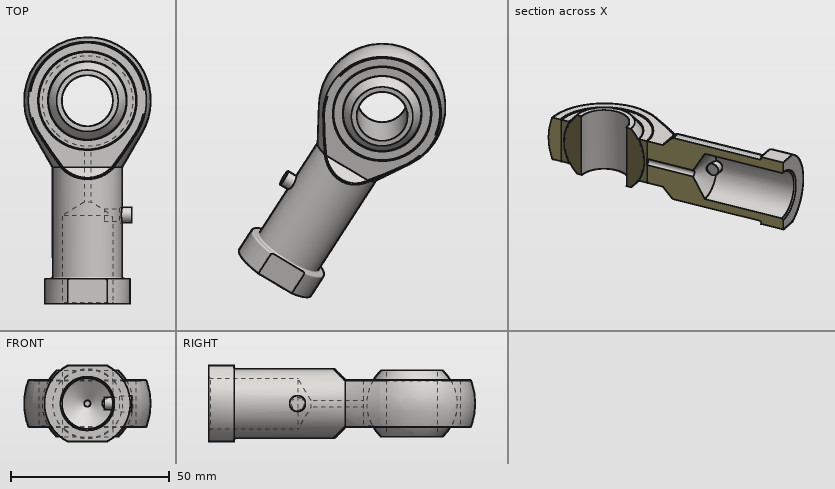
import cadquery as cq
import math

eye_radius = 20.0
eye_thickness = 15.0
taper_angle = math.radians(30)
eye_face = eye_thickness / 2
edge_break = 0.3

shank_radius = 11.0
end_y = -64.0
collar_radius = 13.5
collar_length = 8.0
collar_across_flats = 24.0
collar_fillet = 0.5
collar_y = end_y + collar_length

tangent_y = -eye_radius * math.sin(taper_angle)
tangent_radius = eye_radius * math.cos(taper_angle)
taper_end_y = tangent_y - (tangent_radius - shank_radius) / math.tan(taper_angle)

bore_radius = 8.0
bore_chamfer = 0.5
bore_depth = 28.0
bore_cone_y = end_y + bore_depth
bore_cone_half_angle = math.radians(59)
oil_hole_radius = 1.0
bore_tip_y = bore_cone_y + (bore_radius - oil_hole_radius) / math.tan(bore_cone_half_angle)

race_radius = 30.57 / 2
ball_radius = 28.575 / 2
ball_width = 21.0
ball_bore_radius = 8.0

fitting_y = -36.0
fitting_head_radius = 2.5
fitting_stem_radius = 2.0
fitting_outer_x = 14.0
fitting_seat_x = 10.0
fitting_stem_x = 5.3


def make_cylinder_z(radius, height):
    """Cylinder along Z, centred on the origin."""
    return cq.Workplane("XY", origin=(0, 0, -height / 2)).circle(radius).extrude(height)


def make_cylinder_x(radius, start_x, end_x):
    """Cylinder along X on the axis of the grease fitting."""
    plane = cq.Workplane("YZ", origin=(start_x, fitting_y, 0))
    return plane.circle(radius).extrude(end_x - start_x)


def make_rim_chamfer(hole_radius, side):
    """Cone that breaks the rim of a hole in the eye face on one side (+1 or -1 in Z)."""
    return (
        cq.Workplane("XZ")
        .moveTo(0, side * eye_face)
        .lineTo(hole_radius + edge_break, side * eye_face)
        .lineTo(hole_radius, side * (eye_face - edge_break))
        .lineTo(0, side * (eye_face - edge_break))
        .close()
        .revolve(360, (0, 0), (0, 1))
    )


def make_turned_body():
    """Eye sphere, tangent cone and shank, turned about Y."""
    return (
        cq.Workplane("XY")
        .moveTo(0, eye_radius)
        .threePointArc((eye_radius, 0), (tangent_radius, tangent_y))
        .lineTo(shank_radius, taper_end_y)
        .lineTo(shank_radius, end_y)
        .lineTo(0, end_y)
        .close()
        .revolve(360, (0, 0), (0, 1))
    )


def make_eye_relief(side):
    """Stock cut away on one side (+1 or -1 in Z): flat eye face and 45 degree shoulder."""
    far = 2 * eye_radius
    return (
        cq.Workplane("YZ")
        .moveTo(far, side * eye_face)
        .lineTo(taper_end_y, side * eye_face)
        .lineTo(taper_end_y - (far - eye_face), side * far)
        .lineTo(far, side * far)
        .close()
        .extrude(far, both=True)
    )


def make_eye_and_shank():
    """Turned body flattened at the eye, with the rims of the cut faces chamfered."""
    body = make_turned_body()
    for side in (1, -1):
        body = body.cut(make_eye_relief(side))
    rims = []
    for edge in body.edges().vals():
        box = edge.BoundingBox()
        if edge.geomType() != "LINE" and (box.zmin > edge_break or box.zmax < -edge_break):
            rims.append(edge)
    return body.newObject(rims).chamfer(edge_break)


def make_collar():
    """Collar with a rounded upper rim, a fillet up to the shank and two wrench flats."""
    rounded = (
        cq.Workplane("XY")
        .moveTo(0, end_y)
        .lineTo(collar_radius, end_y)
        .lineTo(collar_radius, collar_y - collar_fillet)
        .radiusArc((collar_radius - collar_fillet, collar_y), -collar_fillet)
        .lineTo(shank_radius + collar_fillet, collar_y)
        .radiusArc((shank_radius, collar_y + collar_fillet), collar_fillet)
        .lineTo(0, collar_y + collar_fillet)
        .close()
        .revolve(360, (0, 0), (0, 1))
    )
    between_flats = cq.Workplane("XY").box(2 * collar_radius, -2 * end_y, collar_across_flats)
    return rounded.intersect(between_flats)


def make_shank_bore():
    """Bore, conical bottom and the oil hole that leads to the eye."""
    return (
        cq.Workplane("XY")
        .moveTo(0, end_y)
        .lineTo(bore_radius + bore_chamfer, end_y)
        .lineTo(bore_radius, end_y + bore_chamfer)
        .lineTo(bore_radius, bore_cone_y)
        .lineTo(oil_hole_radius, bore_tip_y)
        .lineTo(oil_hole_radius, 0)
        .lineTo(0, 0)
        .close()
        .revolve(360, (0, 0), (0, 1))
    )


def make_housing():
    """One-piece rod end: eye, shank and collar with all their holes."""
    housing = make_eye_and_shank().union(make_collar())
    housing = housing.cut(make_shank_bore())
    eye_bore = make_cylinder_z(race_radius, eye_thickness)
    housing = housing.cut(eye_bore)
    for side in (1, -1):
        housing = housing.cut(make_rim_chamfer(race_radius, side))
    fitting_head_hole = make_cylinder_x(fitting_head_radius, fitting_seat_x, fitting_outer_x)
    fitting_stem_hole = make_cylinder_x(fitting_stem_radius, 0, fitting_seat_x)
    return housing.cut(fitting_head_hole).cut(fitting_stem_hole)


def make_race():
    """Outer ring of the bearing, hollowed to the ball."""
    race = make_cylinder_z(race_radius, eye_thickness)
    race = race.cut(cq.Workplane("XY").sphere(ball_radius))
    mouth_radius = math.sqrt(ball_radius**2 - eye_face**2)
    for side in (1, -1):
        race = race.cut(make_rim_chamfer(mouth_radius, side))
    return race


def make_ball():
    """Inner ring: a ball with flat ends and a plain bore."""
    ball = cq.Workplane("XY").sphere(ball_radius)
    ball = ball.intersect(make_cylinder_z(ball_radius, ball_width))
    return ball.cut(make_cylinder_z(ball_bore_radius, ball_width))


def make_fitting():
    """Grease fitting: a head outside the shank and a thinner stem into its bore."""
    head = make_cylinder_x(fitting_head_radius, fitting_seat_x, fitting_outer_x)
    stem = make_cylinder_x(fitting_stem_radius, fitting_stem_x, fitting_seat_x)
    return head.union(stem)


housing = make_housing().solids()
race = make_race().solids()
ball = make_ball().solids()
fitting = make_fitting().solids()

result = cq.Compound.makeCompound([housing.val(), race.val(), ball.val(), fitting.val()])